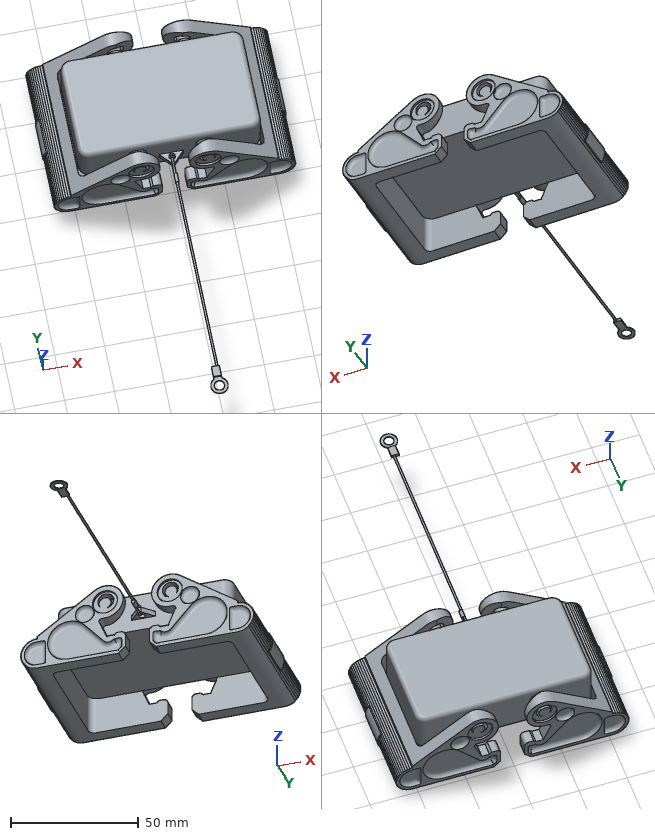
import cadquery as cq
import math

body_length = 72.8
body_width = 42.7
body_bottom = 14.2
body_top = 31.5
body_corner_radius = 4.2
body_top_fillet = 1.9

lever_width = 57.9
arm_thickness = 5.5
inner_face = lever_width / 2 - arm_thickness
window_end = -37.2
window_corner_radius = 2.3

boss_x = -13.4
boss_z = 25.0
boss_radius = 7.5
recess_radius = 5.1
recess_depth = 1.0
peg_hole_radius = 3.3
peg_hole_rise = 1.0
ramp_start = boss_x
ramp_depth = 2.5

grip_x = -41.5
grip_radius = 6.8
grip_z = grip_radius
back_slope = math.radians(34.9)
rib_pitch = 8
rib_first_angle = 96
rib_last_angle = 224
rib_groove_radius = 0.6
label_width = 14.6
label_height = 8.7
label_rise = 0.39

hook_tip_x = -5.0
hook_top = 9.8
hook_round = 1.9
hook_flat = 1.9
hook_chamfer = 2.8
notch_floor = 8.9
notch_left = -12.8
notch_right = -9.7
throat_x = -15.9
throat_round = 1.2

hollow_depth = 1.9
hollow_fillet = 1.7
hollow_corner_radius = 1.0
rim = 1.5
teardrop_x = -28.5
teardrop_radius = 8.7
neck_sag = 1.2
neck_drop = 0.3
teardrop_slope = math.radians(48.5)
grip_hollow_end = -38.1
dimple_x = -21.8
dimple_z = 21.2
dimple_radius = 3.9
dimple_fillet = 1.5

peg_x = 13.7
peg_base_radius = 3.9
peg_neck_radius = 2.5
peg_cone_height = 2.0
peg_tip = lever_width / 2 - recess_depth

lug_half_width = 5.0
lug_bottom = 19.3
lug_thickness = 2.2
lug_reach = 4.7
lug_tip_half_width = 0.6
lug_hole_radius = 1.2
lug_hole_offset = 1.7

total_length = 155.7
cord_radius = 0.5
cord_x = -0.2
cord_z = 20.5
ferrule_start = -30.2
ferrule_length = 3.7
ferrule_width = 1.4
ferrule_height = 2.3
ring_x = -0.8
ring_outer_radius = 3.5
ring_inner_radius = 2.0
ring_thickness = 0.5
ring_bottom = 19.6
sleeve_width = 3.3
sleeve_height = 1.4
sleeve_start = -115.2
sleeve_length = 4.4


def box(x0, x1, y0, y1, z0, z1):
    """Box given by its two limits along each axis."""
    return cq.Workplane("XY").box(x1 - x0, y1 - y0, z1 - z0, centered=False).translate((x0, y0, z0))


def cylinder_y(x, z, radius, y0, y1):
    """Cylinder along Y between y0 and y1."""
    return cq.Workplane("XZ", origin=(x, y0, z)).circle(radius).extrude(y0 - y1)


def on_circle(x, z, radius, angle):
    """Point on a circle in the XZ plane."""
    return (x + radius * math.cos(angle), z + radius * math.sin(angle))


def mirrored(solid, plane):
    """The solid together with its mirror image."""
    return solid.union(solid.mirror(plane))


def make_body():
    """Rounded block of the cover."""
    height = body_top - body_bottom
    block = cq.Workplane("XY", origin=(0, 0, body_bottom)).box(
        body_length, body_width, height, centered=(True, True, False))
    return block.edges("|Z").fillet(body_corner_radius).faces(">Z").edges().fillet(body_top_fillet)


def make_peg():
    """One peg, turned about an axis along -Y."""
    wall = body_width / 2
    cone_end = wall + peg_cone_height
    profile = [(0, 0), (peg_base_radius, 0), (peg_base_radius, -wall), (peg_neck_radius, -cone_end),
               (peg_neck_radius, -peg_tip), (0, -peg_tip)]
    peg = cq.Workplane("XY").polyline(profile).close().revolve(360, (0, 0), (0, 1))
    return peg.translate((-peg_x, 0, boss_z))


def lever_outline():
    """Side outline of the left lever, counterclockwise from the bottom of the grip."""
    back_normal = math.pi / 2 + back_slope
    back_top = on_circle(boss_x, boss_z, boss_radius, back_normal)
    back_end = (grip_x, back_top[1] - (back_top[0] - grip_x) * math.tan(back_slope))
    boss_bottom = boss_z - boss_radius
    throat_inset = throat_round * (1 - math.sqrt(0.5))
    return (
        cq.Workplane("XZ", origin=(0, lever_width / 2, 0))
        .moveTo(grip_x, 0)
        .lineTo(hook_tip_x - hook_chamfer, 0)
        .lineTo(hook_tip_x, hook_chamfer)
        .lineTo(hook_tip_x, hook_top - hook_round)
        .tangentArcPoint((hook_tip_x - hook_round, hook_top), relative=False)
        .lineTo(hook_tip_x - hook_round - hook_flat, hook_top)
        .lineTo(notch_right, notch_floor)
        .lineTo(notch_left, notch_floor)
        .lineTo(throat_x, boss_bottom - throat_round)
        .threePointArc((throat_x + throat_inset, boss_bottom - throat_inset),
                       (throat_x + throat_round, boss_bottom))
        .lineTo(boss_x, boss_bottom)
        .threePointArc((boss_x + boss_radius, boss_z), back_top)
        .lineTo(*back_end)
        .lineTo(grip_x, 2 * grip_radius)
        .threePointArc((grip_x - grip_radius, grip_z), (grip_x, 0))
        .close()
    )


def make_teardrop():
    """Hollow beside the hook, rounded at its floor."""
    slope_start = on_circle(teardrop_x, rim + teardrop_radius, teardrop_radius, math.pi / 2 - teardrop_slope)
    neck_z = notch_floor - rim
    neck_x = slope_start[0] + (slope_start[1] - neck_z) / math.tan(teardrop_slope)
    tip_x = hook_tip_x - rim
    tip_corner = hook_chamfer / 2
    hollow = (
        cq.Workplane("XZ", origin=(0, -lever_width / 2, 0))
        .moveTo(teardrop_x, rim)
        .threePointArc((teardrop_x - teardrop_radius, rim + teardrop_radius), slope_start)
        .lineTo(neck_x, neck_z)
        .threePointArc(((neck_x + notch_right) / 2, neck_z - neck_sag), (notch_right, neck_z - neck_drop))
        .lineTo(tip_x, neck_z)
        .lineTo(tip_x, rim + tip_corner)
        .lineTo(tip_x - tip_corner, rim)
        .close()
        .extrude(-hollow_depth)
    )
    hollow = hollow.edges("|Y and >X").fillet(hollow_corner_radius)
    return hollow.faces(">Y").edges().fillet(hollow_fillet)


def make_grip_hollow():
    """D-shaped hollow in the end of the grip, rounded at its floor."""
    radius = grip_radius - rim
    hollow = (
        cq.Workplane("XZ", origin=(0, -lever_width / 2, 0))
        .moveTo(grip_x, grip_z - radius)
        .lineTo(grip_hollow_end, grip_z - radius)
        .lineTo(grip_hollow_end, grip_z + radius)
        .lineTo(grip_x, grip_z + radius)
        .threePointArc((grip_x - radius, grip_z), (grip_x, grip_z - radius))
        .close()
        .extrude(-hollow_depth)
    )
    hollow = hollow.edges("|Y and >X").fillet(hollow_corner_radius)
    return hollow.faces(">Y").edges().fillet(hollow_fillet)


def make_dimple():
    """Round hollow below the pivot boss."""
    face = -lever_width / 2
    dimple = cylinder_y(dimple_x, dimple_z, dimple_radius, face, face + hollow_depth)
    return dimple.faces(">Y").edges().fillet(dimple_fillet)


def make_peg_seat():
    """Peg hole through the front arm with its shallow outer recess."""
    face = -lever_width / 2
    hole = cylinder_y(boss_x, boss_z + peg_hole_rise, peg_hole_radius, face, -inner_face)
    return hole.union(cylinder_y(boss_x, boss_z, recess_radius, face, face + recess_depth))


def make_ramp():
    """Lead-in wedge on the inner side of the front boss."""
    boss_edge = boss_x + boss_radius
    corners = [(ramp_start, -inner_face), (boss_edge, -inner_face), (boss_edge, -inner_face - ramp_depth)]
    bottom = boss_z - boss_radius
    return cq.Workplane("XY", origin=(0, 0, bottom)).polyline(corners).close().extrude(2 * boss_radius)


def make_label():
    """Raised label area on the outer side of the grip."""
    radius = grip_radius + label_rise
    shell = cylinder_y(grip_x, grip_z, radius, -label_width / 2, label_width / 2)
    half = label_height / 2
    return shell.intersect(box(grip_x - radius, grip_x, -lever_width, lever_width, grip_z - half, grip_z + half))


def make_lever():
    """Left lever: two arms joined by the grip."""
    lever = lever_outline().extrude(lever_width)
    window = box(window_end, 0, -inner_face, inner_face, 0, boss_z + boss_radius)
    lever = lever.cut(window.edges("|Z and <X").fillet(window_corner_radius))
    half_pitch = math.radians(rib_pitch / 2)
    half_chord = grip_radius * math.sin(half_pitch)
    groove_distance = grip_radius * math.cos(half_pitch) + math.sqrt(rib_groove_radius**2 - half_chord**2)
    for angle in range(rib_first_angle, rib_last_angle + 1, rib_pitch):
        x, z = on_circle(grip_x, grip_z, groove_distance, math.radians(angle))
        lever = lever.cut(cylinder_y(x, z, rib_groove_radius, -lever_width / 2, lever_width / 2))
    for cutter in (make_teardrop(), make_grip_hollow(), make_dimple(), make_peg_seat(), make_ramp()):
        lever = lever.cut(mirrored(cutter, "XZ"))
    return lever.union(make_label())


def make_lug():
    """Triangular plate on the front wall with a hole for the cord."""
    wall = -body_width / 2
    outline = [(-lug_half_width, wall), (lug_half_width, wall), (lug_tip_half_width, wall - lug_reach),
               (-lug_tip_half_width, wall - lug_reach)]
    plate = cq.Workplane("XY", origin=(0, 0, lug_bottom)).polyline(outline).close().extrude(lug_thickness)
    hole = cq.Workplane("XY", origin=(0, wall - lug_hole_offset, lug_bottom)).circle(lug_hole_radius)
    return plate.cut(hole.extrude(lug_thickness))


def make_cord():
    """Straight cord and the loop that passes through the lug hole."""
    straight = cylinder_y(cord_x, cord_z, cord_radius, sleeve_start - sleeve_length / 2, ferrule_start)
    lug_middle = lug_bottom + lug_thickness / 2
    clearance = lug_thickness / 2 + cord_radius
    hole_y = -body_width / 2 - lug_hole_offset - lug_hole_radius / 2
    lower_z = cord_z - ferrule_height + 2 * cord_radius
    loop_points = [(ferrule_start, cord_z), (hole_y - clearance, lug_middle + clearance), (hole_y, lug_middle),
                   (hole_y - clearance, lug_middle - clearance), (ferrule_start, lower_z)]
    path = cq.Workplane("YZ", origin=(cord_x, 0, 0)).spline(loop_points, tangents=[(1, 0), (-1, 0)])
    loop = cq.Workplane("XZ", origin=(cord_x, ferrule_start, cord_z)).circle(cord_radius).sweep(path)
    return straight.union(loop)


def make_ferrule():
    """Flat sleeve that clamps both strands of the loop."""
    top = cord_z + cord_radius
    plane = cq.Workplane("XZ", origin=(0, ferrule_start, top - ferrule_height / 2))
    return plane.slot2D(ferrule_height, ferrule_width, 90).extrude(ferrule_length)


def make_terminal():
    """Flat ring on the free end of the cord with its crimp sleeve."""
    ring_y = lever_width / 2 - total_length + ring_outer_radius
    plane = cq.Workplane("XY", origin=(ring_x, ring_y, ring_bottom))
    ring = plane.circle(ring_outer_radius).extrude(ring_thickness)
    hole = plane.circle(ring_inner_radius).extrude(ring_thickness)
    half = sleeve_width / 2
    tongue = box(ring_x - half, ring_x + half, ring_y, sleeve_start, ring_bottom, ring_bottom + ring_thickness)
    sleeve = (
        cq.Workplane("XZ", origin=(ring_x, sleeve_start, ring_bottom + sleeve_height / 2))
        .slot2D(sleeve_width, sleeve_height)
        .extrude(sleeve_length)
    )
    return ring.union(tongue).cut(hole).union(sleeve)


result = make_body().union(mirrored(mirrored(make_peg(), "XZ"), "YZ"))
result = result.union(mirrored(make_lever(), "YZ"))
for cord_part in (make_lug(), make_cord(), make_ferrule(), make_terminal()):
    result = result.union(cord_part)